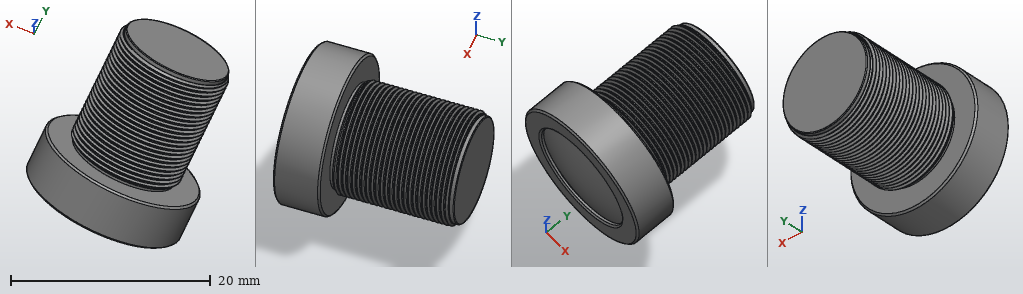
import cadquery as cq
import math


head_radius = 8.5
head_length = 5.02
head_chamfer = 0.2

lens_radius = 6.08
lens_sphere_radius = 16.73
lens_rise = 0.67
seat_chamfer = 0.19

overall_length = 19.01
neck_radius = 5.59
tip_radius = 5.65
tip_length = 0.5
tip_chamfer = 0.1

crest_radius = 6.0
thread_depth = 0.27
thread_length = 12.5
thread_turns = 25
crest_width = 0.063
root_width = 0.125
thread_phase = 65.0
end_chamfer_radius = 5.7
spare_turns = 2
trim_clearance = 0.04

barrel_end = overall_length - lens_rise
thread_end = barrel_end - tip_length
thread_start = thread_end - thread_length
root_radius = crest_radius - thread_depth
pitch = thread_length / thread_turns
flank_width = (pitch - crest_width - root_width) / 2


def lens_surface_y(radius):
    """Y of the spherical lens surface at a given distance from the axis."""
    sphere_center = lens_sphere_radius - lens_rise
    return sphere_center - math.sqrt(lens_sphere_radius**2 - radius**2)


def revolve_about_y(profile):
    return profile.close().revolve(360, (0, 0), (0, 1))


def make_body():
    """Head with lens dome, neck and plain tip as one turned profile."""
    return revolve_about_y(
        cq.Workplane("XY")
        .moveTo(0, -lens_rise)
        .threePointArc(
            (-lens_radius / 2, lens_surface_y(lens_radius / 2)),
            (-lens_radius, lens_surface_y(lens_radius)),
        )
        .lineTo(-lens_radius, seat_chamfer)
        .lineTo(-lens_radius - seat_chamfer, 0)
        .lineTo(-head_radius + head_chamfer, 0)
        .lineTo(-head_radius, head_chamfer)
        .lineTo(-head_radius, head_length - head_chamfer)
        .lineTo(-head_radius + head_chamfer, head_length)
        .lineTo(-neck_radius, head_length)
        .lineTo(-neck_radius, thread_end)
        .lineTo(-tip_radius, thread_end)
        .lineTo(-tip_radius, barrel_end - tip_chamfer)
        .lineTo(-tip_radius + tip_chamfer, barrel_end)
        .lineTo(0, barrel_end)
    )


def make_endless_thread():
    """Solid threaded rod along Z, longer than needed, sewn from one-turn helical strips."""
    turns = thread_turns + 2 * spare_turns
    pitch_profile = [
        (root_radius, 0),
        (root_radius, root_width),
        (crest_radius, root_width + flank_width),
        (crest_radius, root_width + flank_width + crest_width),
        (root_radius, pitch),
    ]
    helices = [
        cq.Wire.makeHelix(pitch, pitch, radius).translate(cq.Vector(0, 0, height))
        for radius, height in pitch_profile
    ]
    strips = [cq.Face.makeRuledSurface(lower, upper) for lower, upper in zip(helices, helices[1:])]
    faces = [
        strip.translate(cq.Vector(0, 0, turn * pitch))
        for turn in range(turns)
        for strip in strips
    ]

    axis_bottom = cq.Vector(0, 0, 0)
    axis_top = cq.Vector(0, 0, pitch)
    axis_piece = cq.Wire.assembleEdges([cq.Edge.makeLine(axis_bottom, axis_top)])
    helicoid = cq.Face.makeRuledSurface(axis_piece, helices[0])
    step_corners = [cq.Vector(radius, 0, height) for radius, height in pitch_profile]
    step_outline = cq.Wire.makePolygon([axis_bottom] + step_corners + [axis_top], close=True)
    step = cq.Face.makeFromWires(step_outline)
    for end_height in (0, turns * pitch):
        end_shift = cq.Vector(0, 0, end_height)
        faces += [helicoid.translate(end_shift), step.translate(end_shift)]

    return cq.Workplane(obj=cq.Solid.makeSolid(cq.Shell.makeShell(faces)))


def make_thread():
    """Threaded length with both ends chamfered at 45 degrees."""
    rod = (
        make_endless_thread()
        .rotate((0, 0, 0), (0, 0, 1), thread_phase)
        .rotate((0, 0, 0), (1, 0, 0), -90)
        .translate((0, thread_start - spare_turns * pitch, 0))
    )
    trim_radius = crest_radius + trim_clearance
    end_chamfer = trim_radius - end_chamfer_radius
    trim = revolve_about_y(
        cq.Workplane("XY")
        .moveTo(0, thread_start)
        .lineTo(-end_chamfer_radius, thread_start)
        .lineTo(-trim_radius, thread_start + end_chamfer)
        .lineTo(-trim_radius, thread_end - end_chamfer)
        .lineTo(-end_chamfer_radius, thread_end)
        .lineTo(0, thread_end)
    )
    return rod.intersect(trim)


result = make_body().union(make_thread())